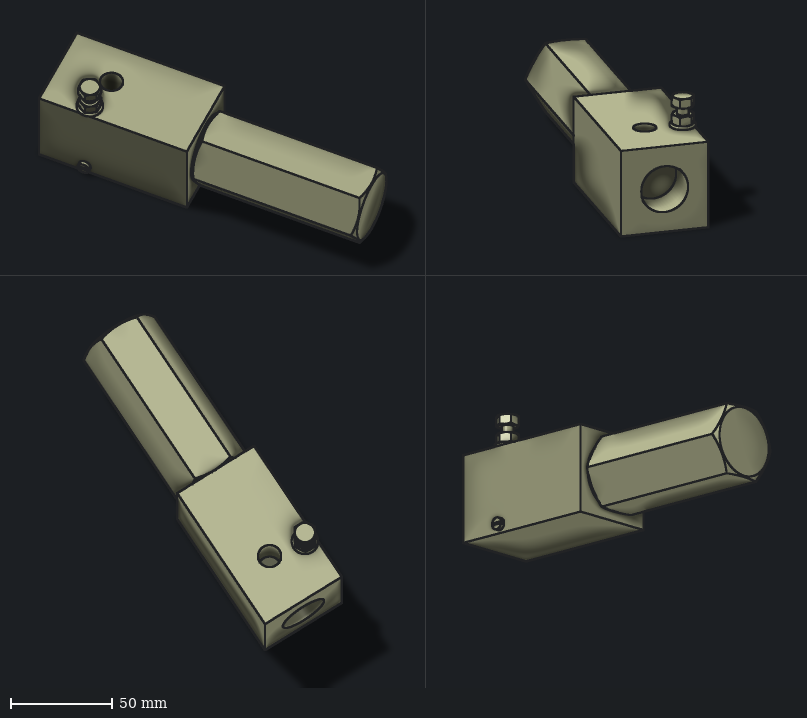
import cadquery as cq
import math

block_length = 80.0
block_side = 45.0
half_side = block_side / 2

bore_diameter = 24.1
top_port_diameter = 11.4
top_port_x = 28.2
top_port_y = 1.7
port_depth = 20.0

total_length = 170.0
sleeve_flats = 36.0
collar_diameter = 35.0
collar_length = 0.8

screw_x = 25.0
screw_inset = 5.6
screw_y = screw_inset - half_side
screw_hex_flats = 10.0
screw_diameter = 6.0
rim_diameter = 13.1
rim_height = 1.5
hex_height = 5.1
neck_height = 4.2
screw_depth = 10.0

pin_diameter = 6.1
pin_projection = 2.2
pin_inset = 4.6
pin_z = pin_inset - half_side
pin_depth = 10.0
slot_width = 1.0
slot_depth = 1.5

chamfer_slope = math.tan(math.radians(30))


def hexagon(flats, height, end_diameter):
    """Hexagonal prism up +Z with corners on +/-Y, both ends chamfered down to end_diameter."""
    corner_diameter = flats / math.cos(math.radians(30))
    corner_radius = corner_diameter / 2
    end_radius = end_diameter / 2
    drop = (corner_radius - end_radius) * chamfer_slope
    prism = cq.Workplane("XY").polygon(6, corner_diameter).extrude(height)
    prism = prism.rotate((0, 0, 0), (0, 0, 1), 90)
    envelope = (
        cq.Workplane("XZ")
        .lineTo(end_radius, 0)
        .lineTo(corner_radius, drop)
        .lineTo(corner_radius, height - drop)
        .lineTo(end_radius, height)
        .lineTo(0, height)
        .close()
        .revolve(360, (0, 0, 0), (0, 1, 0))
    )
    return prism.intersect(envelope)


def make_block():
    block = cq.Workplane("XY").box(block_length, block_side, block_side).translate((block_length / 2, 0, 0))
    bore = cq.Workplane("YZ").circle(bore_diameter / 2).extrude(port_depth)
    top_port = (
        cq.Workplane("XY", origin=(top_port_x, top_port_y, half_side))
        .circle(top_port_diameter / 2)
        .extrude(-port_depth)
    )
    screw_hole = (
        cq.Workplane("XY", origin=(screw_x, screw_y, half_side))
        .circle(screw_diameter / 2)
        .extrude(-screw_depth)
    )
    pin_hole = (
        cq.Workplane("XZ", origin=(screw_x, -half_side, pin_z))
        .circle(pin_diameter / 2)
        .extrude(-pin_depth)
    )
    return block.cut(bore).cut(top_port).cut(screw_hole).cut(pin_hole)


def make_sleeve():
    hex_start = block_length + collar_length
    collar = cq.Workplane("YZ", origin=(block_length, 0, 0)).circle(collar_diameter / 2).extrude(collar_length)
    bar = hexagon(sleeve_flats, total_length - hex_start, collar_diameter)
    bar = bar.rotate((0, 0, 0), (0, 1, 0), 90).translate((hex_start, 0, 0))
    return collar.union(bar)


def make_adjusting_screw():
    rim_round = rim_height / 2
    flat_radius = rim_diameter / 2 - rim_round
    rim = (
        cq.Workplane("XZ")
        .lineTo(flat_radius, 0)
        .threePointArc((rim_diameter / 2, rim_round), (flat_radius, rim_height))
        .lineTo(0, rim_height)
        .close()
        .revolve(360, (0, 0, 0), (0, 1, 0))
    )
    lower_hex = hexagon(screw_hex_flats, hex_height, screw_hex_flats).translate((0, 0, rim_height))
    head_base = rim_height + hex_height + neck_height
    head = hexagon(screw_hex_flats, hex_height, screw_hex_flats).translate((0, 0, head_base))
    shank = (
        cq.Workplane("XY", origin=(0, 0, -screw_depth))
        .circle(screw_diameter / 2)
        .extrude(screw_depth + head_base)
    )
    screw = shank.union(rim).union(lower_hex).union(head)
    return screw.translate((screw_x, screw_y, half_side))


def make_slotted_pin():
    end_y = -half_side - pin_projection
    pin = (
        cq.Workplane("XZ", origin=(screw_x, end_y, pin_z))
        .circle(pin_diameter / 2)
        .extrude(-pin_projection - pin_depth)
    )
    slot = (
        cq.Workplane("XZ", origin=(screw_x, end_y, pin_z))
        .rect(pin_diameter, slot_width)
        .extrude(-slot_depth)
    )
    return pin.cut(slot)


block = make_block()
sleeve = make_sleeve()
adjusting_screw = make_adjusting_screw()
slotted_pin = make_slotted_pin()

result = cq.Compound.makeCompound(
    [block.val(), sleeve.val(), adjusting_screw.val(), slotted_pin.val()]
)